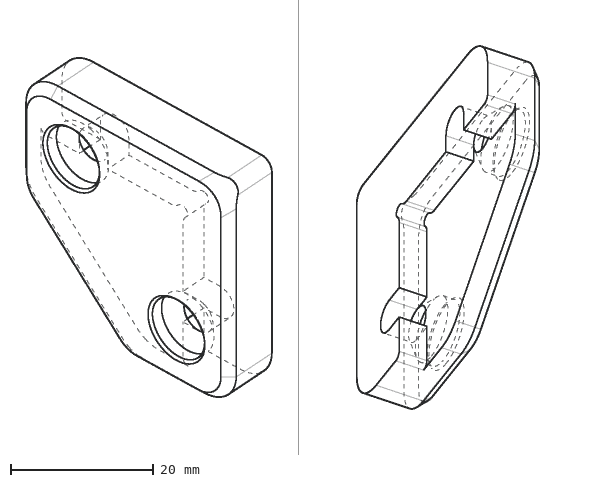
import cadquery as cq
import math

side = 40.0
half_side = side / 2
thickness = 9.0
corner_cut = 20.0
outline_radius = 6.0
bevel = 1.5
mitre_radius = 6.0
square_corner_radius = 2.0

hole_offset = 10.0
hole_diameter = 5.4
hole_radius = hole_diameter / 2
head_radius = 4.95
head_rim_chamfer = 0.45

recess_depth = 4.4
recess_floor = thickness - recess_depth
recess_wall = 7.0
mouth_radius = 1.0
relief_radius = 1.0
relief_blend_radius = 2.0


def front_plane(y):
    """Sketch plane at the given y; a negative extrusion goes toward the back."""
    return cq.Workplane("XZ", origin=(0, y, 0))


def make_plate():
    plate = (
        front_plane(0)
        .moveTo(-half_side, half_side)
        .lineTo(half_side, half_side)
        .lineTo(half_side, -half_side)
        .lineTo(corner_cut - half_side, -half_side)
        .lineTo(-half_side, corner_cut - half_side)
        .close()
        .extrude(-thickness)
    )
    plate = plate.edges("|Y and (<X or <Z)").fillet(outline_radius)
    plate = plate.faces("<Y").chamfer(bevel)

    mitre_middle = half_side - bevel / 2
    mitre = cq.selectors.NearestToPointSelector((mitre_middle, bevel / 2, mitre_middle))
    plate = plate.edges(mitre).fillet(mitre_radius)
    rounded_corner = (
        front_plane(0)
        .rect(side, side)
        .extrude(-thickness)
        .edges("|Y and >X and >Z")
        .fillet(square_corner_radius)
    )
    return plate.intersect(rounded_corner)


def make_recess():
    """Corner recess with rounded mouths and a blended relief, symmetric about x = z."""
    slant = math.sqrt(0.5)
    relief_center = recess_wall + relief_blend_radius * (1 - slant) - relief_radius * slant
    blend_center = recess_wall + relief_blend_radius
    blend_end = relief_center - (relief_radius + relief_blend_radius) * slant
    junction_far = relief_center + relief_radius * slant
    junction_near = relief_center - relief_radius * slant
    blend_mid_far = blend_center - relief_blend_radius * math.cos(math.pi / 8)
    blend_mid_near = blend_end + relief_blend_radius * math.sin(math.pi / 8)
    mouth_far = recess_wall + mouth_radius
    mouth_start = mouth_radius - half_side
    mouth_mid_far = mouth_far - mouth_radius * slant
    mouth_mid_near = mouth_start - mouth_radius * slant
    return (
        front_plane(recess_floor)
        .moveTo(-half_side, -half_side)
        .lineTo(mouth_far, -half_side)
        .threePointArc((mouth_mid_far, mouth_mid_near), (recess_wall, mouth_start))
        .lineTo(recess_wall, blend_end)
        .threePointArc((blend_mid_far, blend_mid_near), (junction_far, junction_near))
        .threePointArc((junction_far, junction_far), (junction_near, junction_far))
        .threePointArc((blend_mid_near, blend_mid_far), (blend_end, recess_wall))
        .lineTo(mouth_start, recess_wall)
        .threePointArc((mouth_mid_near, mouth_mid_far), (-half_side, mouth_far))
        .close()
        .extrude(-recess_depth)
    )


def make_screw_hole(x, z):
    """Counterbore with a chamfered rim and a 45 degree seat ending at the recess floor."""
    seat_start = recess_floor - (head_radius - hole_radius)
    return (
        cq.Workplane("XY")
        .polyline([
            (0, 0),
            (head_radius + head_rim_chamfer, 0),
            (head_radius, head_rim_chamfer),
            (head_radius, seat_start),
            (hole_radius, recess_floor),
            (hole_radius, thickness),
            (0, thickness),
        ])
        .close()
        .revolve(360, (0, 0), (0, 1))
        .translate((x, 0, z))
    )


def make_slots():
    """Slots as wide as the screw holes, opening each hole into the recess."""
    right_slot = (
        front_plane(recess_floor)
        .center(hole_offset / 2, -hole_offset)
        .rect(hole_offset, hole_diameter)
        .extrude(-recess_depth)
    )
    upper_slot = (
        front_plane(recess_floor)
        .center(-hole_offset, hole_offset / 2)
        .rect(hole_diameter, hole_offset)
        .extrude(-recess_depth)
    )
    return right_slot.union(upper_slot)


result = make_plate().cut(make_recess()).cut(make_slots())
for hole_x in (-hole_offset, hole_offset):
    result = result.cut(make_screw_hole(hole_x, -hole_x))